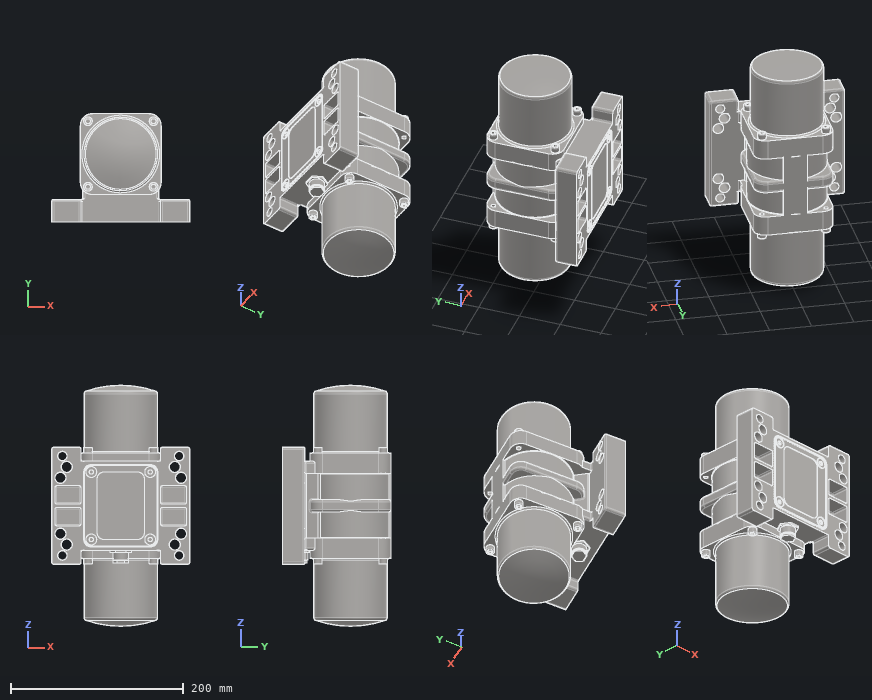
import cadquery as cq
import math


length = 279.0
cap_dia = 85.0
cap_crown_rise = 7.0
cap_shoulder_height = 3.3
cap_shoulder_inset = 1.7
cap_shoulder_bulge = 0.3
collar_radius = 45.0
collar_height = 1.7
barrel_radius = 46.5
barrel_root = 0.5
back_pad_width = 28.5

flange_width = 93.7
flange_corner = 14.2
flange_inner_z = 37.5
flange_outer_z = 60.8
rib_thickness = 14.2
rib_round = 2.8

screw_offset = 38.0
screw_head_dia = 10.0
screw_head_height = 6.7
screw_edge_round = 0.8
socket_dia = 6.5
socket_depth = 4.0
screw_hole_dia = 5.0
screw_hole_depth = 14.0

plate_width = 160.0
plate_height = 135.5
plate_front_y = -79.0
plate_back_y = -52.7
plate_corner = 2.8
plate_back_round = 2.0
notch_width = 91.5
notch_corner = 1.7
box_width = 88.2
box_height = 103.2
box_back_y = -33.5
box_edge_round = 2.5
box_root_round = 1.7

neck_blend_x = 31.0
neck_blend_y = -34.5
neck_blend_bulge = 0.3
neck_inner_x = 29.0
neck_inner_y = -37.5
neck_outer_x = 38.8
neck_outer_y = -50.8
neck_rib_round = 1.0

mounting_holes = [(67.5, 57.5, 10.5), (62.5, 45.0, 12.5), (69.8, 32.5, 12.5)]

pocket_width = 29.9
pocket_height = 21.2
pocket_depth = 23.5
pocket_round = 2.0
pocket_floor_round = 1.7
pocket_x = 61.0
pocket_z = 12.5

cover_width = 85.7
cover_height = 95.0
cover_corner = 8.5
cover_gap = 1.0
cover_gap_depth = 1.5
panel_width = 54.7
panel_height = 78.0
panel_corner = 8.0
panel_depth = 0.5
cover_screw_x = 34.0
cover_screw_z = 39.0
cover_screw_dia = 12.5
cover_screw_recess = 0.8
cover_socket_dia = 5.0
cover_socket_depth = 2.8

gland_y = -58.0
gland_stem_dia = 17.9
gland_collar_dia = 25.0
gland_collar_height = 2.2
gland_stem_end_z = -62.5
gland_neck_dia = 15.5
gland_nut_dia = 18.0
gland_nut_start_z = -63.5
gland_nut_end_z = -66.5

SIDES = (-1, 1)
FOUR_CORNERS = [(sx, sy) for sx in SIDES for sy in SIDES]
SELECT_MARGIN = 0.3


def slab(width, depth, z0, z1, corner):
    """Z-extruded rectangle centred on the axis with rounded corners."""
    block = cq.Workplane("XY").workplane(offset=z0).rect(width, depth).extrude(z1 - z0)
    return block.edges("|Z").fillet(corner)


def front_slab(width, height, y_front, depth, corner=None):
    """Rectangle on an XZ plane, extruded from y_front toward +Y."""
    block = cq.Workplane("XZ", origin=(0, y_front, 0)).rect(width, height).extrude(-depth)
    return block.edges("|Y").fillet(corner) if corner else block


def front_cylinder(x, z, dia, depth):
    """Round tool that enters the front face toward +Y."""
    return cq.Workplane("XZ", origin=(x, plate_front_y, z)).circle(dia / 2).extrude(-depth)


def both_ends(upper):
    return upper.union(upper.mirror("XY"))


def make_motor():
    """Domed end caps, flange collars and the central barrel as one turned body."""
    cap_radius = cap_dia / 2
    crown_z = length / 2 - cap_crown_rise
    crown_radius = cap_radius - cap_shoulder_inset
    shoulder_z = crown_z - cap_shoulder_height
    sphere_radius = (crown_radius**2 + cap_crown_rise**2) / (2 * cap_crown_rise)
    half_crown = crown_radius / 2
    half_crown_z = length / 2 - sphere_radius + math.sqrt(sphere_radius**2 - half_crown**2)
    collar_top_z = flange_outer_z + collar_height
    upper = (
        cq.Workplane("XZ")
        .lineTo(barrel_radius, 0)
        .lineTo(barrel_radius, flange_inner_z)
        .lineTo(collar_radius, flange_inner_z)
        .lineTo(collar_radius, flange_outer_z)
        .lineTo(cap_radius, collar_top_z)
        .lineTo(cap_radius, shoulder_z)
        .threePointArc(
            (cap_radius - cap_shoulder_bulge, shoulder_z + cap_shoulder_height / 2),
            (crown_radius, crown_z),
        )
        .threePointArc((half_crown, half_crown_z), (0, length / 2))
        .close()
        .revolve(360, (0, 0, 0), (0, 1, 0))
    )
    return both_ends(upper)


def make_barrel_roots():
    """Conical flare where the barrel meets each flange."""
    flare = (
        cq.Workplane("XY")
        .workplane(offset=flange_inner_z - barrel_root)
        .circle(barrel_radius)
        .workplane(offset=barrel_root)
        .circle(barrel_radius + barrel_root)
        .loft()
    )
    return both_ends(flare)


def make_flanges():
    flange = slab(flange_width, flange_width, flange_inner_z, flange_outer_z, flange_corner)
    return both_ends(flange)


def make_rib():
    half = rib_thickness / 2
    rib = slab(flange_width, flange_width, -half, half, flange_corner)
    return rib.faces("|Z").edges().fillet(rib_round)


def make_back_pad():
    """Flat pad that squares off the barrel on its +Y side."""
    return cq.Workplane("XY").box(
        back_pad_width, flange_width / 2, 2 * flange_inner_z, centered=(True, False, True)
    )


def make_screw_heads():
    centres = [(sx * screw_offset, sy * screw_offset) for sx, sy in FOUR_CORNERS]
    top_z = flange_outer_z + screw_head_height
    heads = (
        cq.Workplane("XY")
        .workplane(offset=flange_outer_z)
        .pushPoints(centres)
        .circle(screw_head_dia / 2)
        .extrude(screw_head_height)
        .faces(">Z")
        .edges()
        .fillet(screw_edge_round)
    )
    sockets = (
        cq.Workplane("XY")
        .workplane(offset=top_z)
        .pushPoints(centres)
        .polygon(6, socket_dia)
        .extrude(-socket_depth)
    )
    return both_ends(heads.cut(sockets))


def make_screw_holes():
    """Blind holes that open on the inner faces of the flanges, on the +Y side."""
    holes = (
        cq.Workplane("XY")
        .workplane(offset=flange_inner_z)
        .pushPoints([(side * screw_offset, screw_offset) for side in SIDES])
        .circle(screw_hole_dia / 2)
        .extrude(screw_hole_depth)
    )
    return both_ends(holes)


def make_plate():
    """Two rounded wings joined by a shorter web."""
    wing_width = (plate_width - notch_width) / 2
    wing_x = (plate_width + notch_width) / 4
    thickness = plate_back_y - plate_front_y
    wing = (
        front_slab(wing_width, plate_height, plate_front_y, thickness, plate_corner)
        .faces(">Y")
        .edges()
        .fillet(plate_back_round)
    )
    plate = front_slab(plate_width - wing_width, box_height, plate_front_y, thickness)
    for side in SIDES:
        plate = plate.union(wing.translate((side * wing_x, 0, 0)))
    return plate


def make_notch_fillers():
    """Concave fillets in the inner corners of the plate notches."""
    x = notch_width / 2
    z = box_height / 2
    r = notch_corner
    bulge = r * (1 - math.sqrt(0.5))
    filler = (
        cq.Workplane("XZ", origin=(0, plate_front_y, 0))
        .moveTo(x, z)
        .lineTo(x - r, z)
        .threePointArc((x - bulge, z + bulge), (x, z + r))
        .close()
        .extrude(plate_front_y - plate_back_y + plate_back_round)
    )
    fillers = both_ends(filler)
    return fillers.union(fillers.mirror("YZ"))


def make_box():
    """Terminal box, waisted between the flanges to a tapered neck."""
    box = front_slab(
        box_width, box_height, plate_front_y, box_back_y - plate_front_y, box_edge_round
    )
    waist = (
        cq.Workplane("XY")
        .workplane(offset=-flange_inner_z)
        .moveTo(neck_blend_x, box_back_y)
        .lineTo(neck_blend_x, neck_blend_y)
        .sagittaArc((neck_inner_x, neck_inner_y), neck_blend_bulge)
        .lineTo(neck_outer_x, neck_outer_y)
        .lineTo(neck_outer_x, plate_back_y)
        .lineTo(box_width, plate_back_y)
        .lineTo(box_width, box_back_y)
        .close()
        .extrude(2 * flange_inner_z)
    )
    return box.cut(waist).cut(waist.mirror("YZ"))


def round_box_roots(mount):
    """Fillets between the sides of the box and the backs of the plate wings."""
    x = box_width / 2
    for sx, sz in FOUR_CORNERS:
        root = cq.selectors.BoxSelector(
            (sx * (x - SELECT_MARGIN), plate_back_y - SELECT_MARGIN, sz * flange_inner_z),
            (sx * (x + SELECT_MARGIN), plate_back_y + SELECT_MARGIN, sz * box_height / 2),
        )
        mount = mount.edges("|Z").edges(root).fillet(box_root_round)
    return mount


def round_rib_roots(mount):
    """Fillets between the rib and the sloping sides of the neck."""
    z = rib_thickness / 2 + SELECT_MARGIN
    for side in SIDES:
        root = cq.selectors.BoxSelector(
            (side * neck_blend_x, -flange_width / 2, -z),
            (side * neck_outer_x, neck_inner_y, z),
        )
        mount = mount.edges(root).edges("not %CIRCLE").fillet(neck_rib_round)
    return mount


def gland_section(z_top, z_bottom, dia, hexagonal):
    """One Z-extruded length of the cable gland."""
    sketch = cq.Workplane("XY", origin=(0, gland_y, z_bottom))
    outline = sketch.polygon(6, dia) if hexagonal else sketch.circle(dia / 2)
    return outline.extrude(z_top - z_bottom)


def make_gland():
    """Hexagonal collar, round stem, neck and end nut hanging below the box."""
    top_z = -box_height / 2
    collar = gland_section(top_z, top_z - gland_collar_height, gland_collar_dia, True)
    stem = gland_section(top_z, gland_stem_end_z, gland_stem_dia, False)
    neck = gland_section(gland_stem_end_z, gland_nut_start_z, gland_neck_dia, False)
    nut = gland_section(gland_nut_start_z, gland_nut_end_z, gland_nut_dia, True)
    return collar.union(stem).union(neck).union(nut)


def cut_mounting_holes(body):
    for x, z, dia in mounting_holes:
        for sx, sz in FOUR_CORNERS:
            body = body.cut(front_cylinder(sx * x, sz * z, dia, plate_back_y - plate_front_y))
    return body


def cut_pockets(body):
    pocket = (
        front_slab(pocket_width, pocket_height, plate_front_y, pocket_depth, pocket_round)
        .faces(">Y")
        .edges()
        .fillet(pocket_floor_round)
    )
    for sx, sz in FOUR_CORNERS:
        body = body.cut(pocket.translate((sx * pocket_x, 0, sz * pocket_z)))
    return body


def cut_cover(body):
    """Parting gap around the cover, its sunken panel and four screw recesses."""
    outer = front_slab(cover_width, cover_height, plate_front_y, cover_gap_depth, cover_corner)
    inner = front_slab(
        cover_width - 2 * cover_gap,
        cover_height - 2 * cover_gap,
        plate_front_y,
        cover_gap_depth,
        cover_corner - cover_gap,
    )
    panel = front_slab(panel_width, panel_height, plate_front_y, panel_depth, panel_corner)
    body = body.cut(outer.cut(inner)).cut(panel)
    for sx, sz in FOUR_CORNERS:
        x = sx * cover_screw_x
        z = sz * cover_screw_z
        body = body.cut(front_cylinder(x, z, cover_screw_dia, cover_screw_recess))
        body = body.cut(front_cylinder(x, z, cover_socket_dia, cover_socket_depth))
    return body


mount = round_box_roots(make_plate().union(make_box())).union(make_notch_fillers())
mount = round_rib_roots(mount.union(make_rib()))
body = make_motor().union(make_flanges()).union(make_barrel_roots())
body = body.union(make_back_pad()).union(mount)
body = body.cut(make_screw_holes()).union(make_screw_heads()).union(make_gland())
body = cut_mounting_holes(body)
body = cut_pockets(body)
result = cut_cover(body)